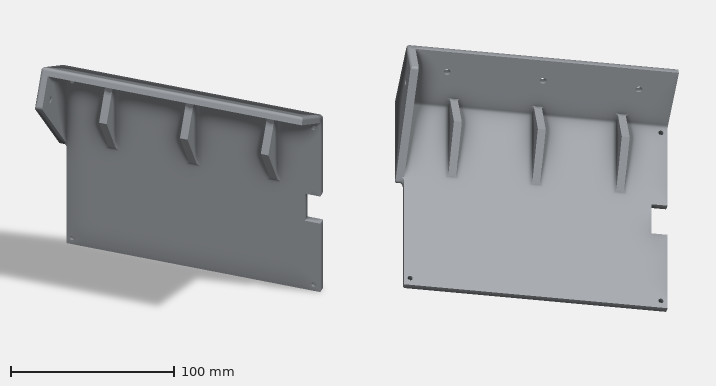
import cadquery as cq
import math

LENGTH = 169.9
WALL = 5.1
EDGE_RADIUS = 2.0
BLEND_RADIUS = 2.0
TILT = math.radians(30)

BACK_TOP_Z = 127.1
SHELF_DEPTH = 43.0
CHEEK_FRONT_LENGTH = 25.8
CHEEK_HEEL_Z = 67.3

RIB_WIDTH = 5.0
RIB_MIDDLE_X = 87.5
RIB_PITCH = 52.5
RIB_TOP_DEPTH = 9.2
RIB_NOSE_LENGTH = 25.0
RIB_HEEL_Z = 75.8

PLATE_HOLE_DIAMETER = 3.0
PLATE_HOLES_X = (8.8, 165.7)
PLATE_HOLES_Z = (4.6, 119.6)
HOOD_HOLE_DIAMETER = 4.0
SHELF_HOLE_MIDDLE_X = RIB_MIDDLE_X
SHELF_HOLE_PITCH = 60.0
SHELF_HOLE_Y = -24.5
CHEEK_HOLE_Y = -34.7
CHEEK_HOLE_Z = 123.7
NOTCH_DEPTH = 10.0
NOTCH_BOTTOM_Z = 50.3
NOTCH_TOP_Z = 70.2

OVERCUT = 1.7


def shelf_point(along, below):
    """(y, z) at a distance along the shelf's top face and below it."""
    y = -along * math.cos(TILT) - below * math.sin(TILT)
    z = BACK_TOP_Z + along * math.sin(TILT) - below * math.cos(TILT)
    return y, z


def extrude_profile(points, start_x, width):
    """Extrude a (y, z) outline along +X."""
    return cq.Workplane("YZ", origin=(start_x, 0, 0)).polyline(points).close().extrude(width)


def edge_at(x, y, z):
    """Selector for the edge whose middle is closest to a point."""
    return cq.selectors.NearestToPointSelector((x, y, z))


def three_in_row(middle, pitch):
    return [middle + i * pitch for i in (-1, 0, 1)]


rib_centers = three_in_row(RIB_MIDDLE_X, RIB_PITCH)

inner_corner = (-WALL, BACK_TOP_Z - WALL / math.cos(TILT) + WALL * math.tan(TILT))


def make_plate_and_shelf():
    outline = [
        (0, 0),
        (0, BACK_TOP_Z),
        shelf_point(SHELF_DEPTH, 0),
        shelf_point(SHELF_DEPTH, WALL),
        inner_corner,
        (-WALL, 0),
    ]
    return extrude_profile(outline, WALL, LENGTH - WALL)


def make_cheek():
    nose = shelf_point(SHELF_DEPTH, CHEEK_FRONT_LENGTH)
    outline = [(0, CHEEK_HEEL_Z), (0, BACK_TOP_Z), shelf_point(SHELF_DEPTH, 0), nose]
    return extrude_profile(outline, 0, WALL)


def make_rib(center_x):
    inside = WALL / 2
    outline = [
        (-inside, RIB_HEEL_Z),
        (-inside, inner_corner[1]),
        shelf_point(RIB_TOP_DEPTH, inside),
        shelf_point(RIB_TOP_DEPTH, WALL + RIB_NOSE_LENGTH),
        (-WALL, RIB_HEEL_Z),
    ]
    return extrude_profile(outline, center_x - RIB_WIDTH / 2, RIB_WIDTH)


def blend_inner_corners(body):
    """Round the roots of the ribs, the shelf and the cheek's lower edge."""
    rib_sides = [x + side * RIB_WIDTH / 2 for x in rib_centers for side in (-1, 1)]
    shelf_ends = [WALL] + rib_sides + [LENGTH]
    corner_y, corner_z = inner_corner
    rib_y, rib_z = shelf_point(RIB_TOP_DEPTH, WALL)
    selector = edge_at(WALL, -WALL / 2, CHEEK_HEEL_Z + WALL / 2)
    for start, end in zip(shelf_ends[::2], shelf_ends[1::2]):
        selector += edge_at((start + end) / 2, corner_y, corner_z)
    for center in rib_centers:
        selector += edge_at(center, -WALL, RIB_HEEL_Z)
    for x in rib_sides:
        selector += edge_at(x, -WALL, (RIB_HEEL_Z + corner_z) / 2)
        selector += edge_at(x, (corner_y + rib_y) / 2, (corner_z + rib_z) / 2)
    return body.edges(selector).fillet(BLEND_RADIUS)


def round_outer_edges(body):
    """Round the rim of the shelf, the cheek and the plate's left back edge."""
    middle_y, middle_z = shelf_point(SHELF_DEPTH / 2, 0)
    peak = shelf_point(SHELF_DEPTH, 0)
    nose = shelf_point(SHELF_DEPTH, CHEEK_FRONT_LENGTH)
    selector = edge_at(LENGTH / 2, 0, BACK_TOP_Z) + edge_at(LENGTH / 2, *peak)
    selector += edge_at(0, middle_y, middle_z) + edge_at(LENGTH, middle_y, middle_z)
    selector += edge_at(0, (peak[0] + nose[0]) / 2, (peak[1] + nose[1]) / 2)
    selector += edge_at(WALL / 2, *nose)
    selector += edge_at(0, 0, (CHEEK_HEEL_Z + BACK_TOP_Z) / 2)
    selector += edge_at(WALL, 0, CHEEK_HEEL_Z / 2)
    selector += edge_at(WALL / 2, 0, CHEEK_HEEL_Z)
    return body.edges(selector).fillet(EDGE_RADIUS)


def drill_plate(body):
    holes = cq.Workplane("XZ").pushPoints([(x, z) for x in PLATE_HOLES_X for z in PLATE_HOLES_Z])
    return body.cut(holes.circle(PLATE_HOLE_DIAMETER / 2).extrude(WALL))


def drill_shelf(body):
    top_z = BACK_TOP_Z - SHELF_HOLE_Y * math.tan(TILT)
    down = cq.Vector(0, -math.sin(TILT), -math.cos(TILT))
    depth = WALL + 2 * OVERCUT
    for x in three_in_row(SHELF_HOLE_MIDDLE_X, SHELF_HOLE_PITCH):
        center = cq.Vector(x, SHELF_HOLE_Y, top_z)
        start = center - down * OVERCUT
        drill = cq.Solid.makeCylinder(HOOD_HOLE_DIAMETER / 2, depth, start, down)
        body = body.cut(cq.Workplane(drill))
    return body


def drill_cheek(body):
    hole = cq.Workplane("YZ").center(CHEEK_HOLE_Y, CHEEK_HOLE_Z).circle(HOOD_HOLE_DIAMETER / 2).extrude(WALL)
    return body.cut(hole)


def cut_notch(body):
    notch = cq.Workplane("XY").box(NOTCH_DEPTH, WALL, NOTCH_TOP_Z - NOTCH_BOTTOM_Z, centered=False)
    return body.cut(notch.translate((LENGTH - NOTCH_DEPTH, -WALL, NOTCH_BOTTOM_Z)))


result = make_plate_and_shelf().union(make_cheek())
for rib_center in rib_centers:
    result = result.union(make_rib(rib_center))
result = blend_inner_corners(result)
result = round_outer_edges(result)
result = drill_plate(result)
result = drill_shelf(result)
result = drill_cheek(result)
result = cut_notch(result)